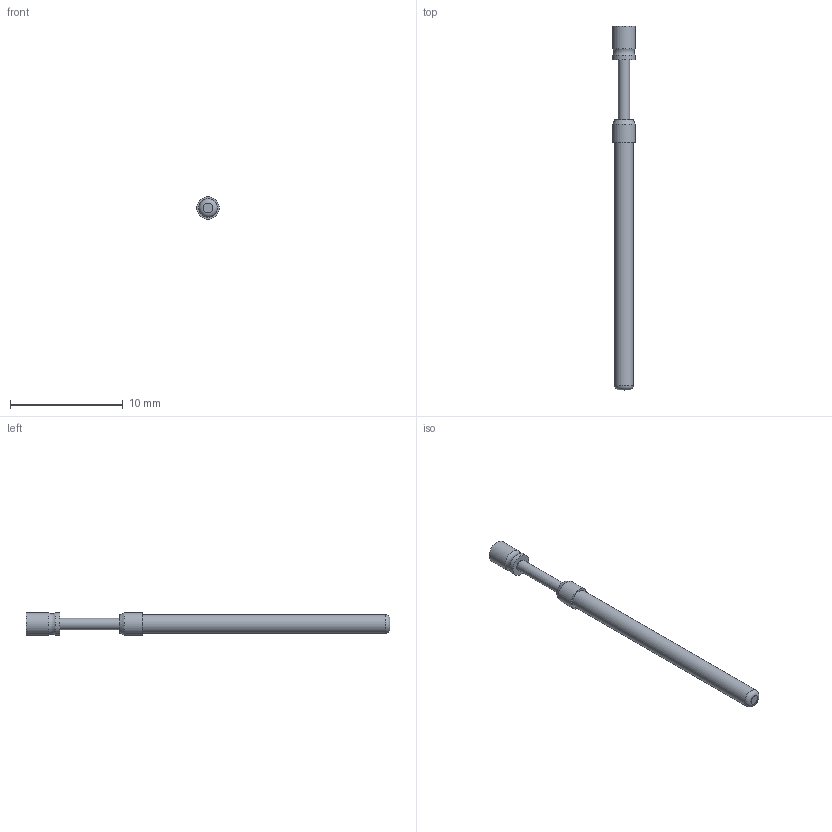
import cadquery as cq

total_length = 32.3

head_radius = 1.0
groove_radius = 0.9
shaft_radius = 0.5
collar_radius = 1.0
collar_chamfer_radius = 0.8
barrel_radius = 0.82

barrel_length = 22.0
collar_length = 2.0
collar_chamfer_length = 0.4
head_length = 3.0
head_cap_length = 2.0
groove_width = 0.6
tip_fillet = 0.4

collar_end = barrel_length + collar_length
head_start = total_length - head_length
groove_end = total_length - head_cap_length
groove_start = groove_end - groove_width


def cylinder(radius, start, end):
    """Round bar on the Y axis running from start to end."""
    return cq.Workplane("XZ", origin=(0, start, 0)).circle(radius).extrude(start - end)


def make_barrel():
    """Long barrel with a rounded tip."""
    return cylinder(barrel_radius, 0, barrel_length).faces("<Y").edges().fillet(tip_fillet)


def make_collar():
    """Press ring with a conical lead on the plunger side."""
    collar = cylinder(collar_radius, barrel_length, collar_end)
    return collar.faces(">Y").chamfer(collar_chamfer_length, collar_radius - collar_chamfer_radius)


def make_shaft():
    """Thin plunger shaft between the collar and the head."""
    return cylinder(shaft_radius, collar_end, head_start)


def make_groove():
    """Ring of circular-arc section that cuts the neck of the head."""
    groove_middle = (groove_start + groove_end) / 2
    profile = (
        cq.Workplane("XY")
        .moveTo(head_radius, groove_start)
        .threePointArc((groove_radius, groove_middle), (head_radius, groove_end))
        .close()
    )
    return profile.revolve(360, (0, 0, 0), (0, 1, 0))


def make_head():
    """Plunger head with its groove."""
    return cylinder(head_radius, head_start, total_length).cut(make_groove())


result = make_barrel().union(make_collar()).union(make_shaft()).union(make_head())